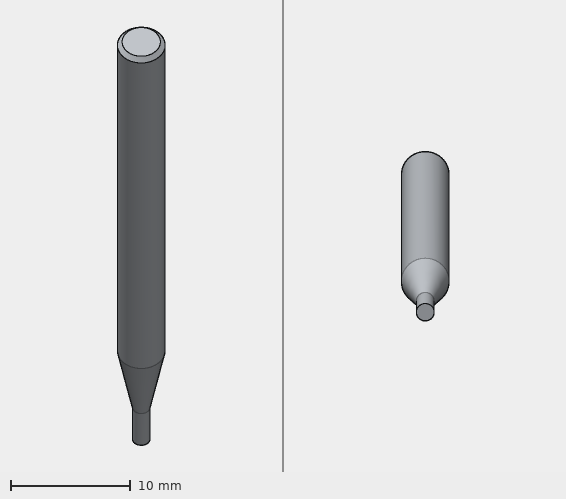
import cadquery as cq

total_length = 50.0
shank_diameter = 4.0
tip_diameter = 1.5
tip_length = 4.0
taper_length = 7.1
top_chamfer = 0.4

shank_radius = shank_diameter / 2
tip_radius = tip_diameter / 2
taper_top = tip_length + taper_length

profile = (
    cq.Workplane("XZ")
    .moveTo(0, 0)
    .lineTo(tip_radius, 0)
    .lineTo(tip_radius, tip_length)
    .lineTo(shank_radius, taper_top)
    .lineTo(shank_radius, total_length - top_chamfer)
    .lineTo(shank_radius - top_chamfer, total_length)
    .lineTo(0, total_length)
    .close()
)

result = profile.revolve(360, (0, 0, 0), (0, 1, 0)).translate((0, 0, -total_length / 2))